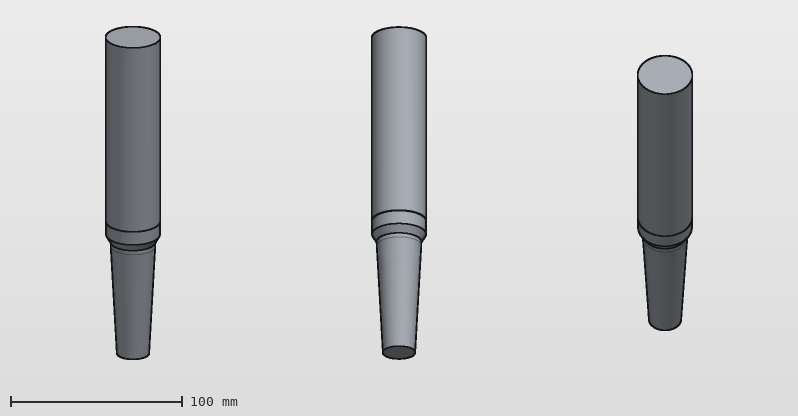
import cadquery as cq

shank_diameter = 32.0
collar_diameter = 31.5
neck_diameter = 26.2
tip_diameter = 19.0

total_length = 200.0
shank_bottom = 83.5
collar_bottom = 75.2
neck_top = 70.5
taper_top = 68.0

shank_radius = shank_diameter / 2
collar_radius = collar_diameter / 2
neck_radius = neck_diameter / 2
tip_radius = tip_diameter / 2
collar_top = shank_bottom - (shank_radius - collar_radius)

half_profile = (
    cq.Workplane("XZ")
    .moveTo(0, 0)
    .lineTo(tip_radius, 0)
    .lineTo(neck_radius, taper_top)
    .lineTo(neck_radius, neck_top)
    .lineTo(collar_radius, collar_bottom)
    .lineTo(collar_radius, collar_top)
    .lineTo(shank_radius, shank_bottom)
    .lineTo(shank_radius, total_length)
    .lineTo(0, total_length)
    .close()
)

result = half_profile.revolve(360, (0, 0, 0), (0, 1, 0))